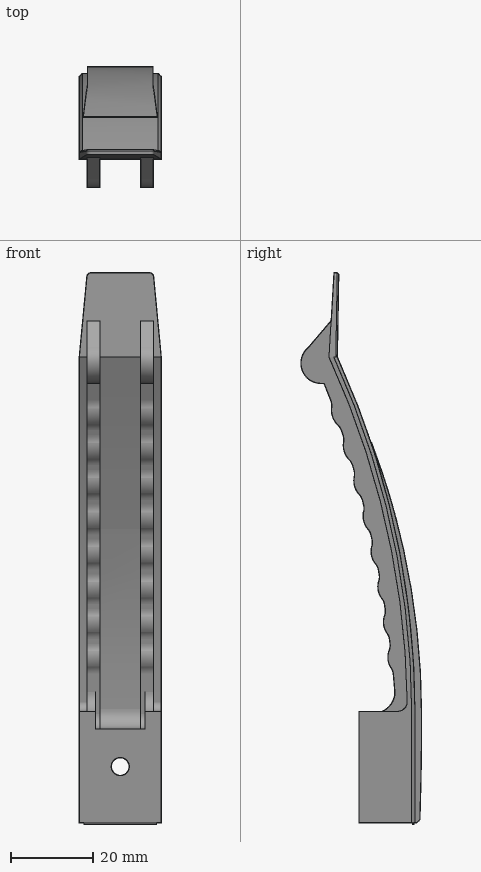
import cadquery as cq
import math

width = 20.0
height = 134.1
depth = 29.4

bend_z = 26.8
strap_front_y = 25.9
strap_radius = 207.2
strap_thickness = 1.9
strap_chamfer = 0.8
kink_z = 113.6

tip_front_y = 8.0
tip_thickness = 1.2
tip_width = 16.1
tip_corner_radius = 1.1
tip_chamfer = 0.4

pad_radius = 185.1
pad_end_z = 92.8
pad_end_width = 18.0
pad_width = 16.0
pad_taper_z = 67.0
pad_foot_drop = 0.4
pad_foot_chamfer = 0.8

block_front_y = 14.1
block_bottom_z = 0.4
block_top_z = 27.5
ledge_cove_radius = 2.4
hole_diameter = 4.3
hole_z = 14.1
lip_width = 17.7
lip_front_y = 27.1
lip_depth = 0.4

rail_span = 16.1
channel_width = 9.9
channel_floor_y = 26.5
channel_radius = 170.3
channel_seam_z = 71.8
channel_upper_sag = 0.5
rail_foot_y = 23.6
rail_bend_z = 12.1
rail_radius = 261.5
rail_cove_radius = 5.1
rail_cove_z = 32.2
slot_width = 12.0
slot_floor_z = 23.2
slot_cove_radius = 3.6
channel_cove_radius = 4.8

bump_count = 8
bump_pitch_z = 8.5
bump_first_z = 40.2
bump_height = 1.0
bump_shoulder = 0.5
crest_half = 1.9
bump_half = 3.6
flank_sag = 0.1

hook_radius = 4.8
hook_z = 112.0
hook_top_z = 122.3
hook_root_y = 7.2
hook_bottom_y = 5.6
hook_face_y = 1.9
hook_face_z = 116.0

strap_back_y = strap_front_y + strap_thickness
strap_back_radius = strap_radius + strap_thickness

root_y = strap_front_y + strap_thickness / 2
root_radius = strap_radius + strap_thickness / 2

cos45 = math.cos(math.radians(45))


def arc_point(foot_y, radius, z):
    """Point (Y, Z) at height z on an arc that leaves the vertical at (foot_y, bend_z)."""
    return (foot_y - radius + math.sqrt(radius**2 - (z - bend_z) ** 2), z)


def side_sketch(y, z):
    return cq.Workplane("YZ").moveTo(y, z)


def extrude_across(sketch, across):
    return sketch.close().extrude(across / 2, both=True)


def cove_mid(y, z, radius):
    """Middle of a quarter cove centred on (y, z), on its +Y -Z side."""
    return (y + radius * cos45, z - radius * cos45)


mid_bend_z = (bend_z + kink_z) / 2
kink_front = arc_point(strap_front_y, strap_radius, kink_z)
kink_back = arc_point(strap_back_y, strap_back_radius, kink_z)
back_arc_middle = arc_point(strap_back_y, strap_back_radius, mid_bend_z)


def make_strap():
    """Foot and arc, with both long edges of the back beveled."""
    profile = (
        side_sketch(strap_front_y, block_bottom_z)
        .lineTo(strap_front_y, bend_z)
        .threePointArc(arc_point(strap_front_y, strap_radius, mid_bend_z), kink_front)
        .lineTo(*kink_back)
        .threePointArc(back_arc_middle, (strap_back_y, bend_z))
        .lineTo(strap_back_y, block_bottom_z)
    )
    strap = extrude_across(profile, width)
    foot_middle = (strap_back_y, (block_bottom_z + bend_z) / 2)
    back_edges = [
        strap.edges(cq.NearestToPointSelector((side * width / 2, y, z))).val()
        for side in (-1, 1)
        for y, z in (back_arc_middle, foot_middle)
    ]
    return strap.newObject(back_edges).chamfer(strap_chamfer)


def make_tip():
    """Flat tip above the kink, tapered, with rounded corners and a beveled back rim."""
    profile = (
        side_sketch(*kink_front)
        .lineTo(tip_front_y, height)
        .lineTo(tip_front_y + tip_thickness, height)
        .lineTo(*kink_back)
    )
    outline = (
        cq.Workplane("XZ")
        .moveTo(-width / 2, kink_z)
        .lineTo(width / 2, kink_z)
        .lineTo(tip_width / 2, height)
        .lineTo(-tip_width / 2, height)
        .close()
        .extrude(-depth)
        .edges("|Y and >Z")
        .fillet(tip_corner_radius)
    )
    tip = extrude_across(profile, width).intersect(outline)
    back_rim = tip.faces(">Y").edges("not <Z")
    return back_rim.chamfer(tip_chamfer)


def make_pad():
    """Grip pad that thickens the back and fades into the strap near its upper end."""
    foot_y = depth - pad_foot_drop
    foot_middle = (depth - pad_foot_drop / 4, bend_z / 2)
    middle_z = (bend_z + pad_end_z) / 2
    profile = (
        side_sketch(root_y, block_bottom_z)
        .lineTo(foot_y - pad_foot_chamfer, block_bottom_z)
        .lineTo(foot_y, block_bottom_z + pad_foot_chamfer)
        .threePointArc(foot_middle, (depth, bend_z))
        .threePointArc(arc_point(depth, pad_radius, middle_z),
                       arc_point(depth, pad_radius, pad_end_z))
        .lineTo(*arc_point(root_y, root_radius, pad_end_z))
        .threePointArc(arc_point(root_y, root_radius, middle_z), (root_y, bend_z))
    )
    outline = (
        cq.Workplane("XZ")
        .moveTo(-pad_width / 2, 0)
        .lineTo(pad_width / 2, 0)
        .lineTo(pad_width / 2, pad_taper_z)
        .lineTo(pad_end_width / 2, pad_end_z)
        .lineTo(-pad_end_width / 2, pad_end_z)
        .lineTo(-pad_width / 2, pad_taper_z)
        .close()
        .extrude(-2 * depth)
    )
    return extrude_across(profile, width).intersect(outline)


def make_block():
    """Foot block with a cove where its top meets the strap ledges."""
    cove_y = strap_front_y - ledge_cove_radius
    cove_z = block_top_z + ledge_cove_radius
    profile = (
        side_sketch(block_front_y, block_bottom_z)
        .lineTo(block_front_y, block_top_z)
        .lineTo(cove_y, block_top_z)
        .threePointArc(cove_mid(cove_y, cove_z, ledge_cove_radius), (strap_front_y, cove_z))
        .lineTo(root_y, cove_z)
        .lineTo(root_y, block_bottom_z)
    )
    return extrude_across(profile, width)


def make_lip():
    """Thin lip along the very bottom of the strap."""
    lip = cq.Workplane("XY").box(lip_width, lip_depth, block_top_z, centered=(True, False, False))
    return lip.translate((0, lip_front_y, 0))


def rail_point(z, rise):
    """Point on the rail's front arc near height z, raised by rise towards the arc's centre."""
    lean = math.asin((z - rail_bend_z) / rail_radius)
    radius = rail_radius - rise
    centre_y = rail_foot_y - rail_radius
    return (centre_y + radius * math.cos(lean), rail_bend_z + radius * math.sin(lean))


def add_bump(sketch, z):
    """Hollow flank, rounded crest, hollow flank, drawn from the top down."""
    flank_middle = (crest_half + bump_half) / 2
    flank_rise = bump_shoulder / 2 - flank_sag
    return (
        sketch.lineTo(*rail_point(z + bump_half, 0))
        .threePointArc(rail_point(z + flank_middle, flank_rise),
                       rail_point(z + crest_half, bump_shoulder))
        .threePointArc(rail_point(z, bump_height), rail_point(z - crest_half, bump_shoulder))
        .threePointArc(rail_point(z - flank_middle, flank_rise), rail_point(z - bump_half, 0))
    )


def make_rails():
    """Both rails and hooks as one wide body; the channel cut parts them."""
    root_kink = arc_point(root_y, root_radius, kink_z)
    cove_start = rail_point(rail_cove_z, 0)
    cove_y = cove_start[0] - rail_cove_radius
    cove_drop = rail_cove_z - block_top_z
    cove_angle = math.asin(cove_drop / rail_cove_radius)
    profile = (
        side_sketch(root_y, slot_floor_z)
        .lineTo(root_y, bend_z)
        .threePointArc(arc_point(root_y, root_radius, mid_bend_z), root_kink)
        .lineTo(root_kink[0], hook_top_z)
        .lineTo(hook_root_y, hook_top_z)
        .lineTo(hook_face_y, hook_face_z)
        .threePointArc((0, hook_z), (hook_radius, hook_z - hook_radius))
        .lineTo(hook_bottom_y, hook_z - hook_radius)
    )
    for index in reversed(range(bump_count)):
        profile = add_bump(profile, bump_first_z + index * bump_pitch_z)
    profile = (
        profile.lineTo(*cove_start)
        .threePointArc(
            (cove_y + rail_cove_radius * math.cos(cove_angle / 2),
             rail_cove_z - rail_cove_radius * math.sin(cove_angle / 2)),
            (cove_y + rail_cove_radius * math.cos(cove_angle), block_top_z))
        .lineTo(cove_y, slot_floor_z)
    )
    return extrude_across(profile, rail_span)


def make_channel():
    """Gap between the rails; its floor is coved into the slot floor."""
    seam = arc_point(channel_floor_y, channel_radius, channel_seam_z)
    upper_middle = (
        (seam[0] + kink_front[0]) / 2 + channel_upper_sag,
        (channel_seam_z + kink_z) / 2,
    )
    cove_y = channel_floor_y - channel_cove_radius
    cove_z = slot_floor_z + channel_cove_radius
    clear_y = -depth
    floor_middle = arc_point(channel_floor_y, channel_radius, (cove_z + channel_seam_z) / 2)
    profile = (
        side_sketch(clear_y, slot_floor_z)
        .lineTo(cove_y, slot_floor_z)
        .threePointArc(cove_mid(cove_y, cove_z, channel_cove_radius),
                       arc_point(channel_floor_y, channel_radius, cove_z))
        .threePointArc(floor_middle, seam)
        .threePointArc(upper_middle, kink_front)
        .lineTo(tip_front_y, height)
        .lineTo(clear_y, height)
    )
    return extrude_across(profile, channel_width)


def make_slot():
    """Wider notch in the block top, coved up to the front of the rails."""
    cove_z = slot_floor_z + slot_cove_radius
    rail_y = rail_point(cove_z, 0)[0]
    cove_y = rail_y - slot_cove_radius
    profile = (
        side_sketch(0, slot_floor_z)
        .lineTo(cove_y, slot_floor_z)
        .threePointArc(cove_mid(cove_y, cove_z, slot_cove_radius), (rail_y, cove_z))
        .lineTo(*rail_point(rail_cove_z, 0))
        .lineTo(0, rail_cove_z)
    )
    return extrude_across(profile, slot_width)


def make_hole():
    hole = cq.Workplane("XZ").center(0, hole_z).circle(hole_diameter / 2)
    return hole.extrude(-2 * depth)


result = (
    make_strap()
    .union(make_tip())
    .union(make_pad())
    .union(make_block())
    .union(make_lip())
    .union(make_rails())
    .cut(make_channel())
    .cut(make_slot())
    .cut(make_hole())
)